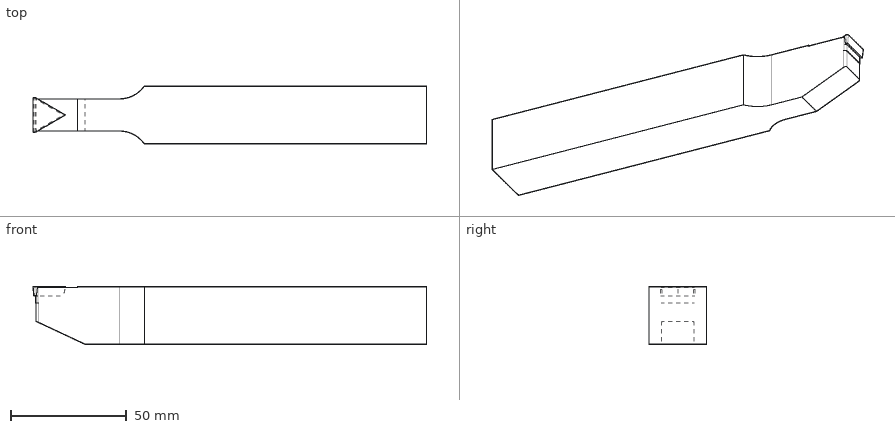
import cadquery as cq
import math

LENGTH = 170.0
SHANK_SIZE = 25.0
NECK_WIDTH = 14.0
NECK_END_X = 37.4
SHOULDER_X = 48.1

NOSE_X = 1.2
NOSE_CORNER_RADIUS = 1.0
NOSE_HEIGHT = 15.0
SLOPE_END_X = 22.6
SEAT_DROP = 0.3
SEAT_END_X = 19.4
RELIEF_TOP = 7.1
RELIEF_DEPTH = 0.2
LOWER_NOSE_X = NOSE_X + RELIEF_DEPTH

INSERT_THICKNESS = 4.0
INSERT_TIP_X = 14.1
INSERT_CORNER_RADIUS = 0.7
INSERT_CLEARANCE_ANGLE = 6.0


def make_insert():
    """Equilateral plate with one side facing -X, two rounded cutting corners, narrower below."""
    half_side = INSERT_TIP_X * math.tan(math.radians(30))
    outline = (
        cq.Sketch()
        .polygon([(0, -half_side), (INSERT_TIP_X, 0), (0, half_side), (0, -half_side)])
        .vertices("<X")
        .fillet(INSERT_CORNER_RADIUS)
    )
    return (
        cq.Workplane("XY")
        .placeSketch(outline)
        .extrude(-INSERT_THICKNESS, taper=INSERT_CLEARANCE_ANGLE)
    )


def make_plan(front_x, height):
    """Body of the given height below Z = 0: shank narrowing to the neck through two concave arcs."""
    half_shank = SHANK_SIZE / 2
    half_neck = NECK_WIDTH / 2
    run = SHOULDER_X - NECK_END_X
    rise = half_shank - half_neck
    radius = (run**2 + rise**2) / (2 * rise)
    half_angle = math.asin(run / radius) / 2
    mid_x = NECK_END_X + radius * math.sin(half_angle)
    mid_y = half_neck + radius * (1 - math.cos(half_angle))
    return (
        cq.Workplane("XY")
        .moveTo(front_x, -half_neck)
        .lineTo(NECK_END_X, -half_neck)
        .threePointArc((mid_x, -mid_y), (SHOULDER_X, -half_shank))
        .lineTo(LENGTH, -half_shank)
        .lineTo(LENGTH, half_shank)
        .lineTo(SHOULDER_X, half_shank)
        .threePointArc((mid_x, mid_y), (NECK_END_X, half_neck))
        .lineTo(front_x, half_neck)
        .close()
        .extrude(-height)
        .edges("|Z and <X")
        .fillet(NOSE_CORNER_RADIUS)
    )


def make_side_profile():
    """Side outline: lowered seat and sloping underside."""
    return (
        cq.Workplane("XZ")
        .polyline([
            (NOSE_X, -SEAT_DROP),
            (SEAT_END_X, -SEAT_DROP),
            (SEAT_END_X, 0),
            (LENGTH, 0),
            (LENGTH, -SHANK_SIZE),
            (SLOPE_END_X, -SHANK_SIZE),
            (NOSE_X, -NOSE_HEIGHT),
        ])
        .close()
        .extrude(SHANK_SIZE / 2, both=True)
    )


def make_holder(insert):
    """Shank, neck and nose, with a pocket that matches the insert."""
    body = make_plan(LOWER_NOSE_X, SHANK_SIZE)
    upper_nose = make_plan(NOSE_X, RELIEF_TOP)
    return body.union(upper_nose).intersect(make_side_profile()).cut(insert)


insert = make_insert()
holder = make_holder(insert)

result = cq.Compound.makeCompound([holder.solids().val(), insert.solids().val()])